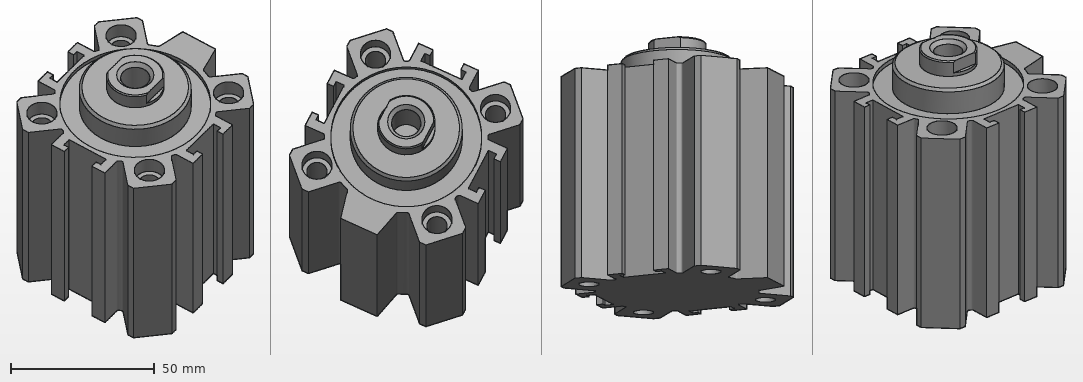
import cadquery as cq
import math

total_height = 89.0
body_height = 75.0
collar_top = 83.0

total_width = 67.0
total_depth = 71.0
core_radius = 28.5
valley_radius = 0.8
lug_width = 17.0
lug_tip_flat = 2.5
rail_half_width = 11.6
slot_mouth = 11.9
slot_width = 15.9
slot_lip = 2.5
slot_depth = 5.6
tab_tip_width = 14.15
tab_base_width = 23.4
tab_base = 17.8

bolt_pitch = 46.5
bolt_diameter = 7.0
counterbore_diameter = 10.5
counterbore_depth = 6.0

recess_diameter = 52.5
recess_depth = 1.6
collar_diameter = 39.0
collar_chamfer = 1.0

rod_diameter = 20.0
rod_length = 44.5
rod_chamfer = 0.45
flats_width = 17.3
flats_height = 4.6
tap_diameter = 10.15
tap_depth = 15.0
tap_mouth_diameter = 12.9

position_tolerance = 0.01

half_width = total_width / 2
tab_reach = total_depth - half_width
rod_bottom = total_height - rod_length
recess_floor = body_height - recess_depth


def cylinder(diameter, bottom, top):
    return cq.Workplane("XY").workplane(offset=bottom).circle(diameter / 2).extrude(top - bottom)


def box(width, depth, bottom, top, center=(0, 0)):
    plane = cq.Workplane("XY").workplane(offset=bottom)
    return plane.center(*center).rect(width, depth).extrude(top - bottom)


def corner_lugs():
    """Two crossed diagonal bars, squared off by the sides of the housing and by their own ends."""
    bar_end = (2 * half_width - lug_width / math.sqrt(2) + lug_tip_flat) / math.sqrt(2)
    bar = box(2 * bar_end, lug_width, 0, body_height)
    bars = bar.rotate((0, 0, 0), (0, 0, 1), 45).union(bar.rotate((0, 0, 0), (0, 0, 1), -45))
    return bars.intersect(box(2 * half_width, 2 * half_width, 0, body_height))


def rails():
    """Rails on the -X, +X and -Y sides that carry the T-slots."""
    cross_rail = box(2 * half_width, 2 * rail_half_width, 0, body_height)
    front_rail = box(2 * rail_half_width, half_width, 0, body_height, (0, -half_width / 2))
    return cross_rail.union(front_rail)


def tab():
    """Tapered tab on the +Y side."""
    return (
        cq.Workplane("XY")
        .moveTo(-tab_base_width / 2, tab_base)
        .lineTo(tab_base_width / 2, tab_base)
        .lineTo(tab_tip_width / 2, tab_reach)
        .lineTo(-tab_tip_width / 2, tab_reach)
        .close()
        .extrude(body_height)
    )


def t_slot(angle):
    """T-slot open towards -Y, turned about Z by the angle."""
    mouth = box(slot_mouth, slot_depth, 0, body_height, (0, -half_width + slot_depth / 2))
    inner_depth = slot_depth - slot_lip
    inner = box(slot_width, inner_depth, 0, body_height, (0, -half_width + slot_depth - inner_depth / 2))
    return mouth.union(inner).rotate((0, 0, 0), (0, 0, 1), angle)


def on_core_circle(point):
    return math.isclose(math.hypot(point.x, point.y), core_radius, abs_tol=position_tolerance)


def housing_profile():
    """Constant cross-section of the housing, extruded over its full height."""
    profile = cylinder(2 * core_radius, 0, body_height)
    profile = profile.union(corner_lugs()).union(rails()).union(tab())
    roots = [edge for edge in profile.edges("|Z").vals() if on_core_circle(edge.Center())]
    profile = profile.newObject(roots).fillet(valley_radius)
    for angle in (-90, 0, 90):
        profile = profile.cut(t_slot(angle))
    return profile


def bolt_hole(x, y):
    """Through hole with a counterbore in the top face."""
    hole = cylinder(bolt_diameter, 0, body_height)
    counterbore = cylinder(counterbore_diameter, body_height - counterbore_depth, body_height)
    return hole.union(counterbore).translate((x, y, 0))


def make_housing():
    housing = housing_profile()
    housing = housing.cut(cylinder(recess_diameter, recess_floor, body_height))
    collar = cylinder(collar_diameter, recess_floor, collar_top).faces(">Z").chamfer(collar_chamfer)
    housing = housing.union(collar)
    housing = housing.cut(cylinder(rod_diameter, rod_bottom, collar_top))
    for x in (-bolt_pitch / 2, bolt_pitch / 2):
        for y in (-bolt_pitch / 2, bolt_pitch / 2):
            housing = housing.cut(bolt_hole(x, y))
    return housing


def make_rod():
    """Rod with two flats at its top, facing -X and +X, and a blind hole with a chamfered mouth."""
    rod = cylinder(rod_diameter, rod_bottom, total_height).faces(">Z").chamfer(rod_chamfer)
    flats_bottom = total_height - flats_height
    around_flats = cylinder(2 * rod_diameter, flats_bottom, total_height)
    between_flats = box(flats_width, 2 * rod_diameter, flats_bottom, total_height)
    rod = rod.cut(around_flats.cut(between_flats))
    rod = rod.cut(cylinder(tap_diameter, total_height - tap_depth, total_height))
    mouth_edge = rod.faces(">Z").edges("%CIRCLE").edges(cq.selectors.RadiusNthSelector(0))
    return mouth_edge.chamfer((tap_mouth_diameter - tap_diameter) / 2)


housing = make_housing()
rod = make_rod()
result = cq.Compound.makeCompound([housing.val(), rod.val()])